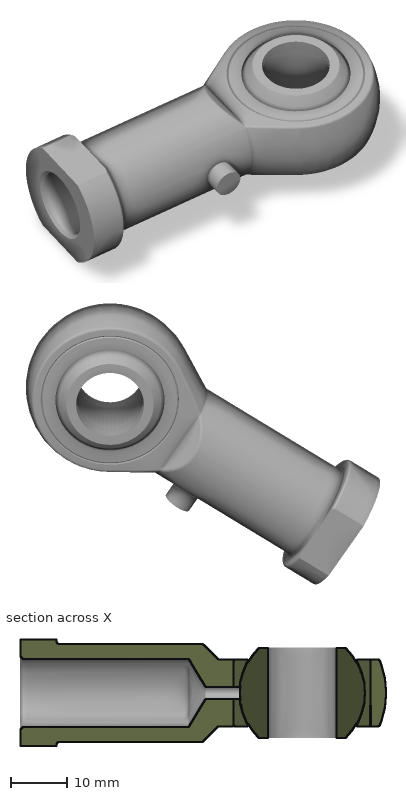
import cadquery as cq
import math

head_radius = 14.95
end_distance = 65.0 - head_radius
head_half_width = 6.0
neck_angle = 30.0
neck_end = 14.9
edge_round = 0.5

shank_radius = 17.5 / 2
collar_radius = 11.05
collar_length = 6.5
collar_half_height = 19.0 / 2
collar_root_round = 0.45

bore_radius = 12.0 / 2
bore_chamfer = 0.5
bore_depth = 29.9
bore_tip_angle = 59.0
oil_hole_radius = 2.0 / 2

race_radius = 24.25 / 2
race_chamfer = 0.2
race_opening_radius = 9.7

ball_radius = 11.1
ball_half_width = 8.0
ball_bore_radius = 12.0 / 2

nipple_head_radius = 5.0 / 2
nipple_stem_radius = 4.0 / 2
nipple_distance = 22.05
nipple_stem_end = 7.15
nipple_head_end = 11.8

collar_start = end_distance - collar_length
tangent_x = head_radius * math.cos(math.radians(neck_angle))
tangent_y = -head_radius * math.sin(math.radians(neck_angle))
shoulder_run = shank_radius - head_half_width
full_size = 4 * head_radius


def z_cylinder(radius, half_height):
    return cq.Workplane("XY").circle(radius).extrude(half_height, both=True)


def make_eye_and_shank():
    """Sphere, tangent cone and cylinder turned about Y, with both sides of the eye milled flat."""
    turned = (
        cq.Workplane("XY")
        .moveTo(0, head_radius)
        .threePointArc((head_radius, 0), (tangent_x, tangent_y))
        .lineTo(shank_radius, -neck_end)
        .lineTo(shank_radius, -end_distance)
        .lineTo(0, -end_distance)
        .close()
        .revolve(360, (0, 0, 0), (0, 1, 0))
    )
    side_outline = (
        cq.Workplane("YZ")
        .polyline([
            (full_size, -head_half_width),
            (full_size, head_half_width),
            (-neck_end, head_half_width),
            (-neck_end - shoulder_run, shank_radius),
            (-full_size * 2, shank_radius),
            (-full_size * 2, -shank_radius),
            (-neck_end - shoulder_run, -shank_radius),
            (-neck_end, -head_half_width),
        ])
        .close()
        .extrude(full_size, both=True)
    )
    milled = turned.intersect(side_outline)
    rim = [
        edge for edge in milled.edges().vals()
        if abs(edge.Center().z) > head_half_width - 0.005 and abs(edge.Center().y + neck_end) > 0.05
    ]
    return milled.newObject(rim).fillet(edge_round)


def make_collar():
    """Round collar with a rounded shoulder, a root fillet and two wrench flats."""
    root_radius = shank_radius + collar_root_round
    outer_flat = collar_radius - edge_round
    mid = math.sqrt(0.5)
    collar = (
        cq.Workplane("XY")
        .moveTo(0, -end_distance)
        .lineTo(collar_radius, -end_distance)
        .lineTo(collar_radius, -collar_start - edge_round)
        .threePointArc(
            (outer_flat + edge_round * mid, -collar_start - edge_round * (1 - mid)),
            (outer_flat, -collar_start))
        .lineTo(root_radius, -collar_start)
        .threePointArc(
            (root_radius - collar_root_round * mid, -collar_start + collar_root_round * (1 - mid)),
            (shank_radius, -collar_start + collar_root_round))
        .lineTo(0, -collar_start + collar_root_round)
        .close()
        .revolve(360, (0, 0, 0), (0, 1, 0))
    )
    return collar.intersect(cq.Workplane("XY").box(full_size, full_size * 2, 2 * collar_half_height))


def make_bore():
    """Blind bore with a chamfered mouth, a conical bottom and an oil hole to the eye."""
    bottom = -end_distance + bore_depth
    tip = bottom + (bore_radius - oil_hole_radius) / math.tan(math.radians(bore_tip_angle))
    return (
        cq.Workplane("XY")
        .polyline([
            (0, -end_distance),
            (bore_radius + bore_chamfer, -end_distance),
            (bore_radius, -end_distance + bore_chamfer),
            (bore_radius, bottom),
            (oil_hole_radius, tip),
            (oil_hole_radius, -race_opening_radius),
            (0, -race_opening_radius),
        ])
        .close()
        .revolve(360, (0, 0, 0), (0, 1, 0))
    )


def x_rod(radius, start, end):
    """Rod on the nipple axis between two distances from the shank axis."""
    return cq.Workplane("YZ").circle(radius).extrude(end - start).translate((start, -nipple_distance, 0))


def make_nipple():
    """Stem pressed into the shank wall, with a wider head that rests on the outside."""
    stem = x_rod(nipple_stem_radius, nipple_stem_end, nipple_head_end)
    return stem.union(x_rod(nipple_head_radius, shank_radius, nipple_head_end))


def make_housing():
    seat = z_cylinder(race_radius, head_half_width)
    for side in (-1, 1):
        mouth = cq.Solid.makeCone(
            race_radius, race_radius + race_chamfer, race_chamfer,
            cq.Vector(0, 0, side * (head_half_width - race_chamfer)), cq.Vector(0, 0, side))
        seat = seat.union(cq.Workplane(obj=mouth))
    body = make_eye_and_shank().union(make_collar())
    return body.cut(seat).cut(make_bore()).cut(make_nipple())


def make_race():
    race = z_cylinder(race_radius, head_half_width).faces("|Z").edges().chamfer(race_chamfer)
    opening = z_cylinder(race_opening_radius, head_half_width)
    return race.cut(opening).cut(cq.Workplane("XY").sphere(ball_radius)).cut(make_bore())


def make_ball():
    ball = cq.Workplane("XY").sphere(ball_radius).intersect(z_cylinder(ball_radius, ball_half_width))
    return ball.cut(z_cylinder(ball_bore_radius, ball_half_width))


housing = make_housing()
race = make_race()
ball = make_ball()
nipple = make_nipple()

result = cq.Compound.makeCompound([housing.val(), race.val(), ball.val(), nipple.val()])